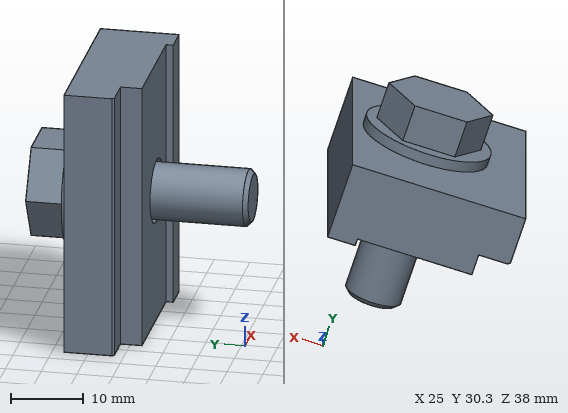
import cadquery as cq
import math


block_width = 25.0
block_height = 38.0
block_thickness = 10.0
shoulder_width = 4.5
shoulder_thickness = 7.0
shoulder_chamfer = 0.3
lip_width = 4.0
lip_depth = 1.0
bolt_to_left_side = 14.5
clearance_hole_diameter = 9.0

washer_diameter = 18.0
washer_bore_diameter = 8.25
washer_thickness = 1.5

bolt_diameter = 8.0
bolt_length = 25.0
tip_chamfer = 0.65
head_height = 5.3
head_across_flats = 13.0

block_back_y = block_thickness
head_seat_y = block_back_y + washer_thickness
shoulder_y = block_back_y - shoulder_thickness
left_x = -bolt_to_left_side
right_x = left_x + block_width
shoulder_x = left_x + shoulder_width
lip_x = right_x - lip_width


def plane_at(y):
    """Work plane square to the bolt axis, extruding toward the bolt tip."""
    return cq.Workplane("XZ", origin=(0, y, 0))


def make_block():
    """Stepped clamp block with the bolt clearance hole."""
    profile = [
        (left_x, block_back_y),
        (left_x, shoulder_y + shoulder_chamfer),
        (left_x + shoulder_chamfer, shoulder_y),
        (shoulder_x, shoulder_y),
        (shoulder_x, 0),
        (lip_x, 0),
        (lip_x, -lip_depth),
        (right_x, -lip_depth),
        (right_x, block_back_y),
    ]
    block = cq.Workplane("XY").polyline(profile).close().extrude(block_height / 2, both=True)
    hole = plane_at(block_back_y).circle(clearance_hole_diameter / 2).extrude(block_thickness)
    return block.cut(hole)


def make_washer():
    """Flat ring between the block and the bolt head."""
    ring = plane_at(head_seat_y).circle(washer_diameter / 2).circle(washer_bore_diameter / 2)
    return ring.extrude(washer_thickness)


def make_bolt():
    """Hex bolt with two head corners on the X axis and a chamfered tip."""
    head_across_corners = head_across_flats / math.cos(math.pi / 6)
    head = plane_at(head_seat_y + head_height).polygon(6, head_across_corners).extrude(head_height)
    shank = plane_at(head_seat_y).circle(bolt_diameter / 2).extrude(bolt_length)
    shank = shank.faces("<Y").chamfer(tip_chamfer)
    return head.union(shank)


result = make_block().union(make_washer()).union(make_bolt())